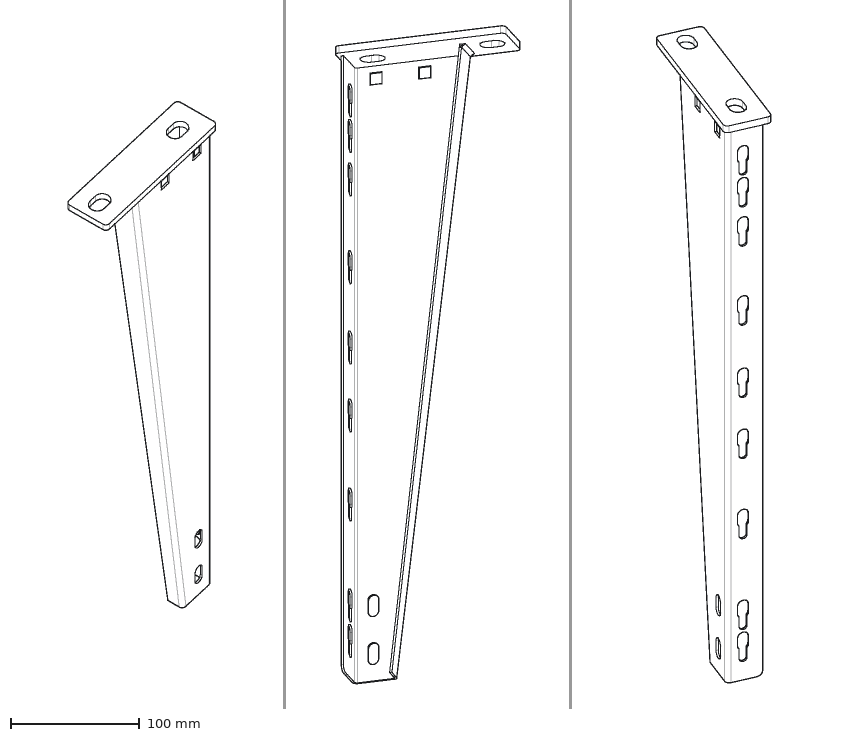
import cadquery as cq
import math

PLATE_WIDTH = 40.0
PLATE_LENGTH = 140.0
PLATE_THICKNESS = 6.0
PLATE_TOP = 520
PLATE_CORNER_RADIUS = 3.5
PLATE_BOTTOM = PLATE_TOP - PLATE_THICKNESS

PLATE_SLOT_WIDTH = 13.5
PLATE_SLOT_LENGTH = 20.0
PLATE_SLOT_CENTRES_Y = (-53.0, 45.5)

SHEET = 1.85
BEND_RADIUS = 2 * SHEET
WEB_OUTER_X = 17.0
BACK_Y = 66.5
FREE_EDGE_X = -13.5
BEND_START_X = WEB_OUTER_X - BEND_RADIUS
FREE_CORNER_RADIUS = 5

FRONT_BOTTOM_Y = 30.0
FRONT_TOP_Y = -30.5
FRONT_EDGE_BOTTOM_X = 2.0
FRONT_EDGE_TOP_X = -8.0

SLOPE = math.atan2(FRONT_BOTTOM_Y - FRONT_TOP_Y, PLATE_BOTTOM)
WEB_BOTTOM = BEND_RADIUS * math.sin(SLOPE)

LIP_HEIGHT = 2.5
LIP_REACH = 3.0

SQUARE_SIZE = 10.0
SQUARE_CENTRES_Y = (48.0, 8.0)
SQUARE_Z = 503.5

WEB_SLOT_WIDTH = 9.0
WEB_SLOT_LENGTH = 18.0
WEB_SLOT_Y = 50.0
WEB_SLOT_CENTRES_Z = (23.5, 63.5)

KEYHOLE_X = 3.0
KEYHOLE_LENGTH = 27.0
KEYHOLE_HEAD_WIDTH = 9.5
KEYHOLE_HEAD_LENGTH = 16.0
KEYHOLE_NECK_WIDTH = 7.0
KEYHOLE_CENTRES_Z = (31, 61.0, 145.0, 219.5, 276.0, 343.5, 416.5, 453.0, 483.0)


def make_plate():
    plate = (
        cq.Workplane("XY", origin=(0, 0, PLATE_BOTTOM))
        .rect(PLATE_WIDTH, PLATE_LENGTH)
        .extrude(PLATE_THICKNESS)
        .edges("|Z")
        .fillet(PLATE_CORNER_RADIUS)
    )
    slots = (
        cq.Workplane("XY", origin=(0, 0, PLATE_BOTTOM))
        .pushPoints([(0, y) for y in PLATE_SLOT_CENTRES_Y])
        .slot2D(PLATE_SLOT_LENGTH, PLATE_SLOT_WIDTH, 90)
        .extrude(PLATE_THICKNESS)
    )
    return plate.cut(slots)


def flange_section(plane, free_edge_x, inward):
    """Flange with its quarter bend; the outer face lies on local y = 0, inward is +1 or -1."""
    bend_inner = BEND_RADIUS - SHEET
    centre_y = inward * BEND_RADIUS
    diagonal = math.sqrt(0.5)
    return (
        cq.Workplane(plane)
        .moveTo(free_edge_x, 0)
        .lineTo(BEND_START_X, 0)
        .threePointArc(
            (BEND_START_X + BEND_RADIUS * diagonal, centre_y * (1 - diagonal)),
            (WEB_OUTER_X, centre_y),
        )
        .lineTo(WEB_OUTER_X - SHEET, centre_y)
        .threePointArc(
            (BEND_START_X + bend_inner * diagonal, centre_y - inward * bend_inner * diagonal),
            (BEND_START_X, inward * SHEET),
        )
        .lineTo(free_edge_x, inward * SHEET)
        .close()
    )


def make_back_flange():
    plane = cq.Plane(origin=(0, BACK_Y, WEB_BOTTOM), xDir=(1, 0, 0), normal=(0, 0, 1))
    flange = flange_section(plane, FREE_EDGE_X, -1).extrude(PLATE_BOTTOM - WEB_BOTTOM)
    return flange.edges("|Y and <X and <Z").fillet(FREE_CORNER_RADIUS)


def make_front_flange():
    rise = (0, -math.sin(SLOPE), math.cos(SLOPE))
    plane = cq.Plane(origin=(0, FRONT_BOTTOM_Y, 0), xDir=(1, 0, 0), normal=rise)
    flange = flange_section(plane, FRONT_EDGE_TOP_X, 1).extrude(PLATE_TOP / math.cos(SLOPE))
    tapered_outline = (
        cq.Workplane("XZ", origin=(0, BACK_Y, 0))
        .polyline([
            (FRONT_EDGE_BOTTOM_X, WEB_BOTTOM),
            (BEND_START_X, 0),
            (WEB_OUTER_X, 0),
            (WEB_OUTER_X, PLATE_BOTTOM),
            (FRONT_EDGE_TOP_X, PLATE_BOTTOM),
        ])
        .close()
        .extrude(PLATE_LENGTH)
    )
    return flange.intersect(tapered_outline)


def make_weld_lip():
    lip_bottom = PLATE_BOTTOM - LIP_HEIGHT
    y = FRONT_TOP_Y + LIP_HEIGHT * math.tan(SLOPE)
    plane = cq.Plane(origin=(0, y, lip_bottom), xDir=(1, 0, 0), normal=(0, 0, 1))
    section = flange_section(plane, FRONT_EDGE_TOP_X, 1).val()
    return cq.Workplane(cq.Solid.extrudeLinear(section, [], cq.Vector(0, -LIP_REACH, LIP_HEIGHT)))


def make_web():
    back_y = BACK_Y - BEND_RADIUS
    bend_y = FRONT_BOTTOM_Y + BEND_RADIUS * math.cos(SLOPE)
    web_top_front_y = bend_y - (PLATE_BOTTOM - WEB_BOTTOM) * math.tan(SLOPE)
    return (
        cq.Workplane("YZ", origin=(WEB_OUTER_X - SHEET, 0, 0))
        .polyline([
            (bend_y, WEB_BOTTOM),
            (back_y, WEB_BOTTOM),
            (back_y, PLATE_BOTTOM),
            (web_top_front_y, PLATE_BOTTOM),
        ])
        .close()
        .extrude(SHEET)
    )


def web_hole_cutters():
    face = cq.Workplane("YZ", origin=(WEB_OUTER_X - SHEET, 0, 0))
    squares = (
        face.pushPoints([(y, SQUARE_Z) for y in SQUARE_CENTRES_Y])
        .rect(SQUARE_SIZE, SQUARE_SIZE)
        .extrude(SHEET)
    )
    slots = (
        face.pushPoints([(WEB_SLOT_Y, z) for z in WEB_SLOT_CENTRES_Z])
        .slot2D(WEB_SLOT_LENGTH, WEB_SLOT_WIDTH, 90)
        .extrude(SHEET)
    )
    return squares.union(slots)


def keyhole_cutter(centre_z):
    face = cq.Workplane("XZ", origin=(KEYHOLE_X, BACK_Y, centre_z))
    head_centre_z = (KEYHOLE_LENGTH - KEYHOLE_HEAD_LENGTH) / 2
    head = (
        face.center(0, head_centre_z)
        .slot2D(KEYHOLE_HEAD_LENGTH, KEYHOLE_HEAD_WIDTH, 90)
        .extrude(SHEET)
    )
    neck = face.slot2D(KEYHOLE_LENGTH, KEYHOLE_NECK_WIDTH, 90).extrude(SHEET)
    return head.union(neck)


def make_bracket():
    bracket = make_web().union(make_back_flange()).union(make_front_flange()).union(make_weld_lip())
    bracket = bracket.cut(web_hole_cutters())
    for centre_z in KEYHOLE_CENTRES_Z:
        bracket = bracket.cut(keyhole_cutter(centre_z))
    return bracket


plate = make_plate()
bracket = make_bracket()
result = cq.Compound.makeCompound([plate.solids().val(), bracket.solids().val()])